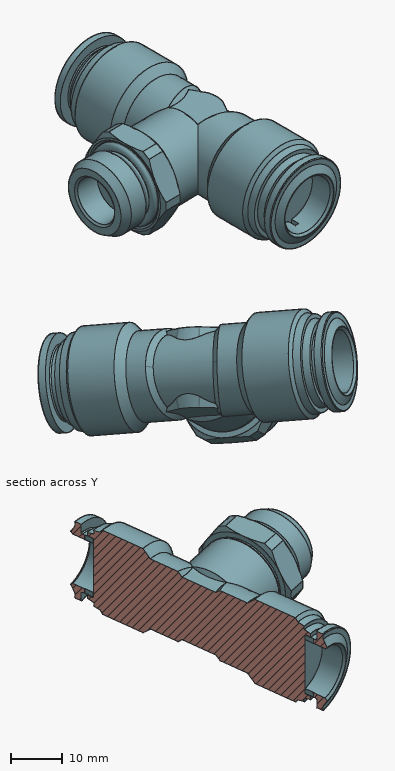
import cadquery as cq
import math

RUN_HALF_LENGTH = 30.5
TUBE_RADIUS = 8.95

SOCKET_RADIUS = 10.75
SOCKET_INNER_X = 11.5
SOCKET_INNER_CHAMFER = 1.75
SOCKET_OUTER_X = 22.95
COLLAR_STEP_X = 23.55
COLLAR_RADIUS = 9.95
COLLAR_RIM_RADIUS = 9.65
RING_INNER_X = 25.1
RING_OUTER_X = 26.55
RING_INNER_RADIUS = 8.8
RING_OUTER_RADIUS = 8.4

COLLET_NECK_RADIUS = 7.45
NECK_FLARE_RADIUS = 7.6
NECK_FLARE_X = 27.65
FLANGE_RADIUS = 9.75
FLANGE_INNER_X = 27.95
FLANGE_OUTER_X = 29.6
FLANGE_CHAMFER = 0.2
NOSE_BASE_RADIUS = 8.5
NOSE_RADIUS = 6.85
COLLET_BORE_RADIUS = 6.2
COLLET_BORE_CHAMFER = 0.5
COLLET_BORE_FLOOR_X = 25.2
SLIT_WIDTH = 0.9
SLIT_OUTER_X = 27.15

WAIST_RADIUS = 8.0
PAD_HEIGHT = 8.0
WAIST_FRONT_Y = -4.0
WAIST_FRONT_HALF_WIDTH = 4.0
WAIST_BACK_HALF_WIDTH = 7.45
PAD_WALL_DRAFT = 16.0
PAD_CORNER_Y = 2.9
PAD_CORNER_X = 5.5
PAD_SHOULDER_Y = 4.8
PAD_SHOULDER_X = 2.15
PAD_BACK_Y = 5.2
PAD_DEPTH = 4.9
SHOULDER_LENGTH = 1.0
BRANCH_SHOULDER_LENGTH = 0.75

BRANCH_END = 14.8
UNDERCUT_RADIUS = 8.8
HEX_START = 15.4
HEX_END = 20.4
HEX_ACROSS_FLATS = 20.0
HEX_ACROSS_CORNERS = 21.95
HEX_FACE_RADIUS = 10.0
HEX_CHAMFER = 0.55
RECESS_RADIUS = 9.5
RECESS_FLOOR_RADIUS = 9.1
RECESS_DEPTH = 0.4

SEAL_RING_RADIUS = 8.1
SEAL_CORD_RADIUS = 0.9
SEAL_END = 21.2
RELIEF_RADIUS = 7.25
RELIEF_FILLET = 0.35
THREAD_START = 22.6
THREAD_RADIUS = 8.25
THREAD_CHAMFER_START = 26.6
THREAD_TIP_RADIUS = 7.2
BRANCH_LENGTH = 28.4
BRANCH_BORE_RADIUS = 5.05
BRANCH_BORE_CHAMFER = 0.4
BRANCH_BORE_FLOOR = 22.6


def revolve_x(points):
    """Turn an (x, radius) outline about the X axis."""
    return cq.Workplane("XY").polyline(points).close().revolve(360, (0, 0, 0), (1, 0, 0))


def revolve_branch(points):
    """Turn a (radius, distance along -Y) outline about the Y axis."""
    outline = [(radius, -distance) for radius, distance in points]
    return cq.Workplane("XY").polyline(outline).close().revolve(360, (0, 0, 0), (0, 1, 0))


def make_socket():
    """Socket and collet at the +X end."""
    socket = revolve_x([
        (SOCKET_INNER_X, 0),
        (SOCKET_INNER_X, TUBE_RADIUS),
        (SOCKET_INNER_X + SOCKET_INNER_CHAMFER, SOCKET_RADIUS),
        (SOCKET_OUTER_X, SOCKET_RADIUS),
        (COLLAR_STEP_X, COLLAR_RADIUS),
        (RING_INNER_X, COLLAR_RIM_RADIUS),
        (RING_INNER_X, RING_INNER_RADIUS),
        (RING_OUTER_X, RING_OUTER_RADIUS),
        (RING_OUTER_X, COLLET_NECK_RADIUS),
        (NECK_FLARE_X, COLLET_NECK_RADIUS),
        (FLANGE_INNER_X, NECK_FLARE_RADIUS),
        (FLANGE_INNER_X, FLANGE_RADIUS),
        (FLANGE_OUTER_X - FLANGE_CHAMFER, FLANGE_RADIUS),
        (FLANGE_OUTER_X, FLANGE_RADIUS - FLANGE_CHAMFER),
        (FLANGE_OUTER_X, NOSE_BASE_RADIUS),
        (RUN_HALF_LENGTH, NOSE_RADIUS),
        (RUN_HALF_LENGTH, 0),
    ])
    bore = revolve_x([
        (COLLET_BORE_FLOOR_X, 0),
        (COLLET_BORE_FLOOR_X, COLLET_BORE_RADIUS),
        (RUN_HALF_LENGTH - COLLET_BORE_CHAMFER, COLLET_BORE_RADIUS),
        (RUN_HALF_LENGTH, COLLET_BORE_RADIUS + COLLET_BORE_CHAMFER),
        (RUN_HALF_LENGTH, 0),
    ])
    slit = (
        cq.Workplane("XY", origin=(COLLET_BORE_FLOOR_X, 0, 0))
        .box(
            SLIT_OUTER_X - COLLET_BORE_FLOOR_X,
            SLIT_WIDTH,
            2 * COLLET_NECK_RADIUS,
            centered=(False, True, True),
        )
    )
    return socket.cut(bore).cut(slit)


def make_pad():
    """Flat pad on top of the waist, with its back wall drafted outwards going down."""
    return (
        cq.Workplane("XY", origin=(0, 0, PAD_HEIGHT))
        .moveTo(-PAD_CORNER_X, WAIST_FRONT_Y)
        .lineTo(PAD_CORNER_X, WAIST_FRONT_Y)
        .lineTo(PAD_CORNER_X, PAD_CORNER_Y)
        .lineTo(PAD_SHOULDER_X, PAD_SHOULDER_Y)
        .threePointArc((0, PAD_BACK_Y), (-PAD_SHOULDER_X, PAD_SHOULDER_Y))
        .lineTo(-PAD_CORNER_X, PAD_CORNER_Y)
        .close()
        .extrude(-PAD_DEPTH, taper=-PAD_WALL_DRAFT)
    )


def make_shoulder(tube_x, slant):
    """Taper from the tube down to the waist between two parallel slanted planes, on the +X side."""
    stretch = math.hypot(1, slant)
    rims = []
    for centre_x, radius in ((tube_x, TUBE_RADIUS), (tube_x - SHOULDER_LENGTH, WAIST_RADIUS)):
        plane = cq.Plane(origin=(centre_x, 0, 0), xDir=(slant, 1, 0), normal=(-1, slant, 0))
        rims.append(cq.Workplane(plane).ellipse(radius * stretch, radius).wires().val())
    return cq.Workplane(cq.Solid.makeLoft(rims, True))


def make_waist_cutter():
    """Wedge, open to the back, less the waist and the sloped shoulders that must stay."""
    spread = (WAIST_BACK_HALF_WIDTH - WAIST_FRONT_HALF_WIDTH) / (TUBE_RADIUS - WAIST_FRONT_Y)
    centre_half_width = WAIST_FRONT_HALF_WIDTH - spread * WAIST_FRONT_Y
    back_half_width = centre_half_width + spread * SOCKET_RADIUS
    wedge = (
        cq.Workplane("XY", origin=(0, 0, -SOCKET_RADIUS))
        .polyline([
            (-WAIST_FRONT_HALF_WIDTH, WAIST_FRONT_Y),
            (WAIST_FRONT_HALF_WIDTH, WAIST_FRONT_Y),
            (back_half_width, SOCKET_RADIUS),
            (-back_half_width, SOCKET_RADIUS),
        ])
        .close()
        .extrude(2 * SOCKET_RADIUS)
    )
    core = cq.Workplane("YZ").circle(WAIST_RADIUS).extrude(RUN_HALF_LENGTH, both=True)

    shoulder = make_shoulder(centre_half_width, spread)
    branch_shoulder = revolve_branch([
        (0, -WAIST_FRONT_Y),
        (TUBE_RADIUS, -WAIST_FRONT_Y),
        (WAIST_RADIUS, -WAIST_FRONT_Y - BRANCH_SHOULDER_LENGTH),
        (0, -WAIST_FRONT_Y - BRANCH_SHOULDER_LENGTH),
    ])
    return wedge.cut(core).cut(branch_shoulder).cut(shoulder).cut(shoulder.mirror("YZ"))


def make_branch():
    """Stem from the tee centre to the threaded tip, without the hexagon."""
    rise = THREAD_RADIUS - RELIEF_RADIUS
    fillet_rise = RELIEF_FILLET * (1 - math.cos(math.pi / 4))
    fillet_run = RELIEF_FILLET * math.sin(math.pi / 4)
    fillet_end = THREAD_START - (rise - fillet_rise)
    outline = (
        cq.Workplane("XY")
        .lineTo(TUBE_RADIUS, 0)
        .lineTo(TUBE_RADIUS, -BRANCH_END)
        .lineTo(UNDERCUT_RADIUS, -BRANCH_END)
        .lineTo(UNDERCUT_RADIUS, -HEX_START)
        .lineTo(RELIEF_RADIUS, -HEX_START)
        .lineTo(RELIEF_RADIUS, -(fillet_end - fillet_run))
        .tangentArcPoint((RELIEF_RADIUS + fillet_rise, -fillet_end), relative=False)
        .lineTo(THREAD_RADIUS, -THREAD_START)
        .lineTo(THREAD_RADIUS, -THREAD_CHAMFER_START)
        .lineTo(THREAD_TIP_RADIUS, -BRANCH_LENGTH)
        .lineTo(0, -BRANCH_LENGTH)
        .close()
    )
    return outline.revolve(360, (0, 0, 0), (0, 1, 0))


def make_seal():
    """O-ring seated against the outer face of the hexagon."""
    return (
        cq.Workplane("XY")
        .center(SEAL_RING_RADIUS, SEAL_CORD_RADIUS - SEAL_END)
        .circle(SEAL_CORD_RADIUS)
        .revolve(360, (-SEAL_RING_RADIUS, 0, 0), (-SEAL_RING_RADIUS, 1, 0))
    )


def make_hexagon():
    """Wrench hexagon with cut-off corners and turned chamfers on both faces."""
    height = HEX_END - HEX_START
    to_diameter = 1 / math.cos(math.pi / 6)
    start_plane = cq.Workplane("XZ", origin=(0, -HEX_START, 0))
    flats = start_plane.polygon(6, HEX_ACROSS_FLATS * to_diameter).extrude(height)
    corners = (
        start_plane
        .transformed(rotate=(0, 0, 30))
        .polygon(6, HEX_ACROSS_CORNERS * to_diameter)
        .extrude(height)
    )
    corner_radius = HEX_ACROSS_CORNERS / 2
    slope = HEX_CHAMFER / (corner_radius - HEX_FACE_RADIUS)
    outer = HEX_ACROSS_FLATS * to_diameter / 2
    drop = slope * (outer - HEX_FACE_RADIUS)
    turned = revolve_branch([
        (0, HEX_START),
        (HEX_FACE_RADIUS, HEX_START),
        (outer, HEX_START + drop),
        (outer, HEX_END - drop),
        (HEX_FACE_RADIUS, HEX_END),
        (RECESS_RADIUS, HEX_END),
        (RECESS_FLOOR_RADIUS, HEX_END - RECESS_DEPTH),
        (0, HEX_END - RECESS_DEPTH),
    ])
    return flats.intersect(corners).intersect(turned)


def make_branch_bore():
    """Blind bore in the threaded tip, chamfered at its mouth."""
    return revolve_branch([
        (0, BRANCH_BORE_FLOOR),
        (BRANCH_BORE_RADIUS, BRANCH_BORE_FLOOR),
        (BRANCH_BORE_RADIUS, BRANCH_LENGTH - BRANCH_BORE_CHAMFER),
        (BRANCH_BORE_RADIUS + BRANCH_BORE_CHAMFER, BRANCH_LENGTH),
        (0, BRANCH_LENGTH),
    ])


run = cq.Workplane("YZ").circle(TUBE_RADIUS).extrude(SOCKET_INNER_X, both=True)
pad = make_pad()
tee = (
    run.union(make_branch())
    .cut(make_waist_cutter())
    .union(pad)
    .union(pad.mirror("XY"))
)
socket = make_socket()
result = (
    tee.union(make_hexagon())
    .union(make_seal())
    .cut(make_branch_bore())
    .union(socket)
    .union(socket.mirror("YZ"))
)